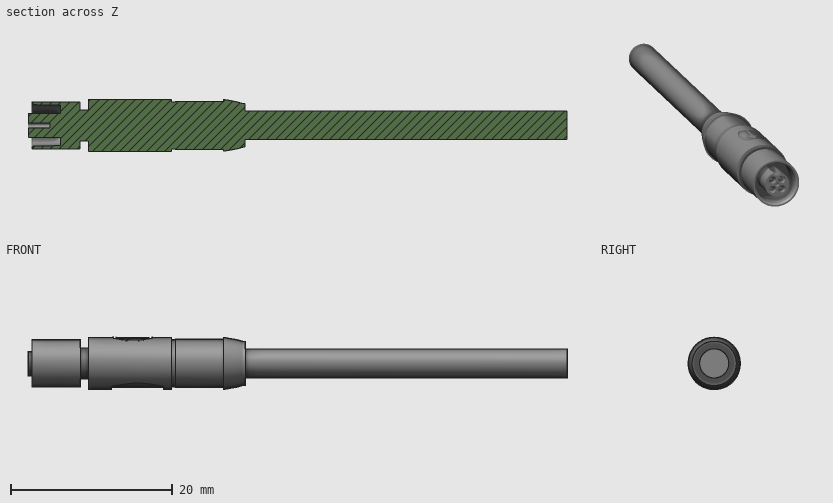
import cadquery as cq

total_length = 67.0
sleeve_start = 0.5
sleeve_end = 6.5
grip_start = 7.5
grip_end = 17.8
barrel_start = 18.3
collar_start = 24.25
collar_land_start = 26.65
collar_end = 27.0

sleeve_radius = 2.95
neck_radius = 1.95
grip_radius = 3.25
gap_radius = 2.95
barrel_radius = 3.0
collar_rear_radius = 2.75
collar_bulge = 0.1
cable_radius = 1.8

bore_mouth_radius = 2.75
bore_radius = 2.55
bore_floor_radius = 2.5
bore_floor = 4.0
insert_radius = 1.55

key_mouth_width = 0.95
key_floor_width = 0.6
key_depth = 0.37

contact_offset = 0.6
contact_radius = 0.3
contact_depth = 2.7
contact_mouth_radius = 0.5
contact_mouth_depth = 1.0

arrow_pad_center = 13.0
arrow_pad_length = 4.75
arrow_pad_width = 3.0
arrow_pad_end_width = 1.9
arrow_pad_depth = 0.15
arrow_tip = 10.9
arrow_head_base = 12.5
arrow_tail = 15.0
arrow_head_width = 1.4
arrow_shaft_width = 0.35
lower_pad_center = 13.6
lower_pad_length = 6.4
lower_pad_width = 4.3
lower_pad_end_width = 3.1
lower_pad_depth = 0.3
pad_corner_radius = 0.3


def rod(start, end, radius):
    """Solid cylinder on the X axis between two stations."""
    return cq.Workplane("YZ", origin=(start, 0, 0)).circle(radius).extrude(end - start)


def collar():
    """Collar that narrows to the rear along an arc and ends in a short land."""
    middle = (collar_start + collar_land_start) / 2
    middle_radius = (grip_radius + collar_rear_radius) / 2 + collar_bulge
    return (
        cq.Workplane("XY")
        .moveTo(collar_start, 0)
        .lineTo(collar_start, grip_radius)
        .threePointArc((middle, middle_radius), (collar_land_start, collar_rear_radius))
        .lineTo(collar_end, collar_rear_radius)
        .lineTo(collar_end, 0)
        .close()
        .revolve(360, (0, 0, 0), (1, 0, 0))
    )


def tapered_socket():
    """Socket space with a 45 degree lead-in and a slight taper down to its floor."""
    return (
        cq.Workplane("XY")
        .moveTo(sleeve_start, 0)
        .lineTo(sleeve_start, bore_mouth_radius)
        .lineTo(sleeve_start + bore_mouth_radius - bore_radius, bore_radius)
        .lineTo(bore_floor, bore_floor_radius)
        .lineTo(bore_floor, 0)
        .close()
        .revolve(360, (0, 0, 0), (1, 0, 0))
    )


def keyway():
    """Groove with sloped flanks along the top of the insert, down to the socket floor."""
    floor_height = insert_radius - key_depth
    flank_corners = [
        (key_floor_width / 2, floor_height),
        (key_mouth_width / 2, insert_radius),
        (-key_mouth_width / 2, insert_radius),
        (-key_floor_width / 2, floor_height),
    ]
    return cq.Workplane("YZ").polyline(flank_corners).close().extrude(bore_floor)


def contact_hole(y, z):
    """Blind contact hole with a wider mouth at the mating face."""
    hole = rod(0, contact_depth, contact_radius)
    mouth = rod(0, contact_mouth_depth, contact_mouth_radius)
    return hole.union(mouth).translate((0, y, z))


def grip_skin(depth):
    """Thin outer layer of the grip."""
    return rod(grip_start, grip_end, grip_radius).cut(
        rod(grip_start, grip_end, grip_radius - depth)
    )


def pad_layer(center, length, width, end_width, depth, side):
    """Bowed piece of the grip skin, on top (side = 1) or below (side = -1)."""
    prism = (
        cq.Workplane("XY", origin=(center, 0, 0))
        .moveTo(-length / 2, -end_width / 2)
        .threePointArc((0, -width / 2), (length / 2, -end_width / 2))
        .lineTo(length / 2, end_width / 2)
        .threePointArc((0, width / 2), (-length / 2, end_width / 2))
        .close()
        .extrude(side * 2 * grip_radius)
        .edges("|Z")
        .fillet(pad_corner_radius)
    )
    return grip_skin(depth).intersect(prism)


def arrow():
    """Arrow pointing to the mating face, level with the grip surface."""
    half_head = arrow_head_width / 2
    half_shaft = arrow_shaft_width / 2
    outline = [
        (arrow_tip, 0),
        (arrow_head_base, half_head),
        (arrow_head_base, half_shaft),
        (arrow_tail, half_shaft),
        (arrow_tail, -half_shaft),
        (arrow_head_base, -half_shaft),
        (arrow_head_base, -half_head),
    ]
    prism = cq.Workplane("XY").polyline(outline).close().extrude(2 * grip_radius)
    return grip_skin(arrow_pad_depth).intersect(prism)


sleeve = rod(sleeve_start, sleeve_end, sleeve_radius).cut(tapered_socket())

insert = rod(0, sleeve_end, insert_radius).cut(keyway()).cut(rod(0, contact_depth, contact_radius))
for y in (-contact_offset, contact_offset):
    for z in (-contact_offset, contact_offset):
        insert = insert.cut(contact_hole(y, z))

arrow_pad = pad_layer(
    arrow_pad_center, arrow_pad_length, arrow_pad_width, arrow_pad_end_width, arrow_pad_depth, 1
)
lower_pad = pad_layer(
    lower_pad_center, lower_pad_length, lower_pad_width, lower_pad_end_width, lower_pad_depth, -1
)
grip = rod(grip_start, grip_end, grip_radius).cut(arrow_pad.cut(arrow())).cut(lower_pad)

result = (
    sleeve.union(insert)
    .union(rod(sleeve_end, grip_start, neck_radius))
    .union(grip)
    .union(rod(grip_end, barrel_start, gap_radius))
    .union(rod(barrel_start, collar_start, barrel_radius))
    .union(collar())
    .union(rod(collar_end, total_length, cable_radius))
)